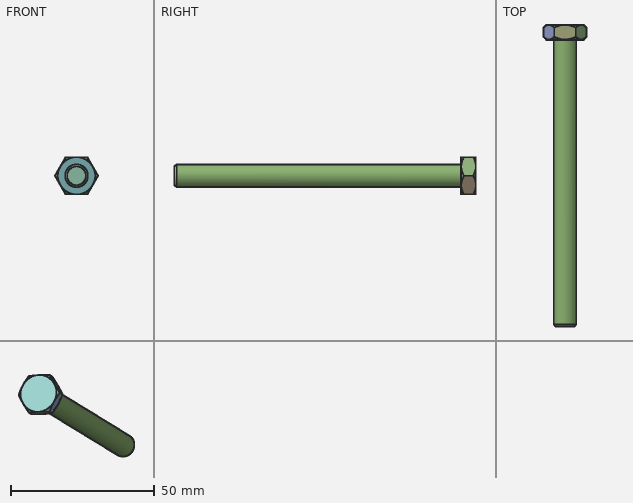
import cadquery as cq
import math

total_length = 105.3
head_height = 5.3
across_corners = 15.1
shank_diameter = 8.0
tip_chamfer_length = 0.8
tip_chamfer_depth = 0.7
washer_face_height = 0.2
corner_angle = 42.0

across_flats = across_corners * math.cos(math.radians(30))
shank_radius = shank_diameter / 2
corner_radius = across_corners / 2
face_radius = across_flats / 2
corner_drop = (corner_radius - face_radius) * math.tan(math.radians(corner_angle))
tip_y = -total_length / 2
head_top_y = total_length / 2
head_base_y = head_top_y - head_height
washer_face_top_y = head_base_y + washer_face_height


def make_head():
    """Hexagonal prism with corners on X, trimmed by end cones and a round washer face."""
    prism = (
        cq.Workplane("XZ", origin=(0, head_top_y, 0))
        .polygon(6, across_corners)
        .extrude(head_height)
    )
    trimming_body = (
        cq.Workplane("XY")
        .moveTo(0, head_base_y)
        .lineTo(face_radius, head_base_y)
        .lineTo(face_radius, washer_face_top_y)
        .lineTo(corner_radius, washer_face_top_y + corner_drop)
        .lineTo(corner_radius, head_top_y - corner_drop)
        .lineTo(face_radius, head_top_y)
        .lineTo(0, head_top_y)
        .close()
        .revolve(360, (0, 0, 0), (0, 1, 0))
    )
    return prism.intersect(trimming_body)


def make_shank():
    """Round shank with a conical chamfer at its tip."""
    return (
        cq.Workplane("XY")
        .moveTo(0, tip_y)
        .lineTo(shank_radius - tip_chamfer_depth, tip_y)
        .lineTo(shank_radius, tip_y + tip_chamfer_length)
        .lineTo(shank_radius, head_base_y)
        .lineTo(0, head_base_y)
        .close()
        .revolve(360, (0, 0, 0), (0, 1, 0))
    )


result = make_head().union(make_shank())